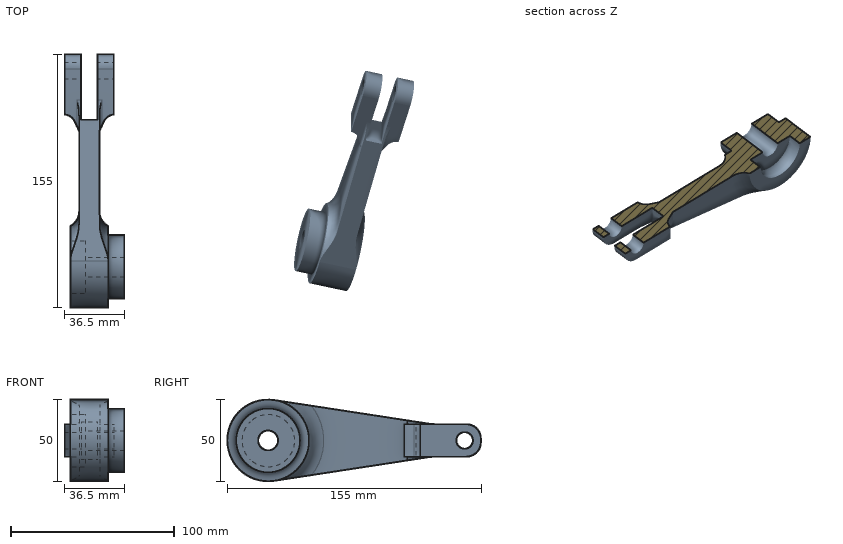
import math

import cadquery as cq


hub_radius = 25.0
hub_width = 23.0
hub_bore_diameter = 12.0
spigot_diameter = 39.0
spigot_length = 10.0
pocket_diameter = 32.0
pocket_depth = 9.0

arm_thickness = 12.5
arm_taper = math.radians(8.7)
arm_tail_blend_radius = 30.0
flare_radius = 10.0

pin_distance = 120.0
pin_diameter = 10.0
pin_edge_distance = 10.0
clevis_width = 30.0
clevis_height = 20.0
clevis_corner_radius = 9.0
slot_width = 10.0
slot_depth = 40.0
lug_length = 37.0
shoulder_root_y = 83.0
shoulder_knee_x = 9.0
shoulder_knee_y = 88.8
corner_fillet_radius = 1.35
corner_fillet_start_y = 84.9

half_hub = hub_width / 2
half_arm = arm_thickness / 2
half_clevis = clevis_width / 2
half_height = clevis_height / 2
tip_y = pin_distance + pin_edge_distance


def x_cylinder(diameter, x_start, length, y=0.0):
    """Cylinder along +X, centred on height zero at the given Y."""
    return cq.Workplane("YZ", origin=(x_start, y, 0)).circle(diameter / 2).extrude(length)


def tapered_slab():
    """Side outline of hub and arm, as wide as the hub."""
    tangent_y = hub_radius * math.sin(arm_taper)
    tangent_z = hub_radius * math.cos(arm_taper)
    corner_y = (hub_radius / math.cos(arm_taper) - half_height) / math.tan(arm_taper)
    blend_length = arm_tail_blend_radius * math.tan(arm_taper / 2)
    blend_y = corner_y - blend_length * math.cos(arm_taper)
    blend_z = half_height + blend_length * math.sin(arm_taper)
    tail_y = corner_y + blend_length
    return (
        cq.Workplane("YZ", origin=(-half_hub, 0, 0))
        .moveTo(tangent_y, tangent_z)
        .lineTo(blend_y, blend_z)
        .radiusArc((tail_y, half_height), -arm_tail_blend_radius)
        .lineTo(tail_y, -half_height)
        .radiusArc((blend_y, -blend_z), -arm_tail_blend_radius)
        .lineTo(tangent_y, -tangent_z)
        .threePointArc((-hub_radius, 0), (tangent_y, tangent_z))
        .close()
        .extrude(hub_width)
    )


def flared_hub():
    """Hub disc whose two faces sweep down to the arm flanks in a concave arc."""
    step = half_hub - half_arm
    flare_end = hub_radius + math.sqrt(flare_radius**2 - (flare_radius - step) ** 2)
    return (
        cq.Workplane("XY")
        .moveTo(-half_hub, 0)
        .lineTo(-half_hub, hub_radius)
        .radiusArc((-half_arm, flare_end), -flare_radius)
        .lineTo(half_arm, flare_end)
        .radiusArc((half_hub, hub_radius), -flare_radius)
        .lineTo(half_hub, 0)
        .close()
        .revolve(360, (0, 0, 0), (1, 0, 0))
    )


def clevis_block(height):
    """Clevis before slotting, with curved shoulders that narrow to the arm flanks."""
    half_block = (
        cq.Workplane("XY", origin=(0, 0, -height / 2))
        .moveTo(0, shoulder_root_y)
        .lineTo(half_arm, shoulder_root_y)
        .lineTo(shoulder_knee_x, shoulder_knee_y)
        .tangentArcPoint((half_clevis, tip_y - lug_length), relative=False)
        .lineTo(half_clevis, tip_y)
        .lineTo(0, tip_y)
        .close()
        .extrude(height)
    )
    return half_block.union(half_block.mirror("YZ"))


def corner_fillets(slab):
    """Concave fillets between the arm flanks and the top and bottom of the clevis."""
    reach = half_arm + corner_fillet_radius
    level = half_height + corner_fillet_radius
    run = tip_y - corner_fillet_start_y
    strip = cq.Workplane("XY").box(2 * reach, run, 2 * level).translate((0, tip_y - run / 2, 0))
    for side in (-1, 1):
        for end in (-1, 1):
            scoop = (
                cq.Workplane("XZ", origin=(side * reach, tip_y, end * level))
                .circle(corner_fillet_radius)
                .extrude(run)
            )
            strip = strip.cut(scoop)
    return strip.intersect(slab).intersect(clevis_block(2 * level))


def clevis_slot():
    """Slot between the two lugs, open at the tip."""
    slot_height = 2 * hub_radius
    slot = cq.Workplane("XY").box(slot_width, slot_depth, slot_height)
    return slot.translate((0, tip_y - slot_depth / 2, 0))


slab = tapered_slab()
arm_plate = slab.intersect(cq.Workplane("XY").box(arm_thickness, 2 * tip_y, 2 * hub_radius))
arm = arm_plate.union(slab.intersect(flared_hub()))

clevis = clevis_block(clevis_height).edges("|X and >Y").fillet(clevis_corner_radius)

result = (
    arm.union(clevis)
    .union(corner_fillets(slab))
    .union(x_cylinder(spigot_diameter, half_hub, spigot_length))
    .cut(clevis_slot())
    .cut(x_cylinder(pin_diameter, -half_clevis, clevis_width, pin_distance))
    .cut(x_cylinder(hub_bore_diameter, -half_hub, hub_width + spigot_length))
    .cut(x_cylinder(pocket_diameter, -half_hub, pocket_depth))
)